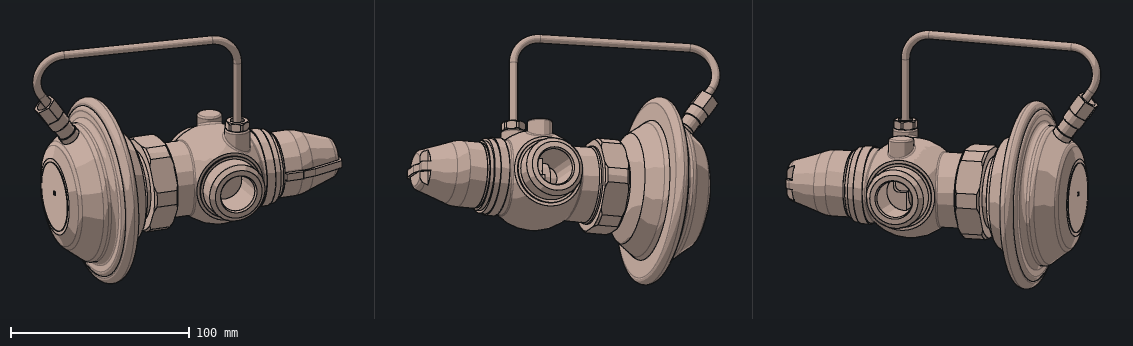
import cadquery as cq
import math


GLOBE_RADIUS = 28.1
GLOBE_HALF_WIDTH = 22.0
GLOBE_SIDE_RADIUS = 20.0
NECK_RADIUS = 21.2
NECK_FILLET = 1.2
COLLAR_RADIUS = 22.0
COLLAR_START = 22.6
COLLAR_END = 27.8
COLLAR_STEP_END = 31.2
CAP_BASE_RADIUS = 19.6
CAP_GROOVE_START = 33.4
CAP_GROOVE_RADIUS = 18.4
CAP_START = 34.7
CAP_RADIUS = 18.7
CAP_SHOULDER = 45.0
CAP_SHOULDER_MID = (18.3, 49.0)
CAP_CONE_START = (17.2, 52.2)
CAP_CONE_END = (11.8, 68.2)
CAP_EDGE_MID = (10.6, 70.3)
CAP_END_RADIUS = 9.2
CAP_END = 71.0

STRAP_WIDTH = 4.3
STRAP_BASE = 20.9
STRAP_NECK = 20.2
STRAP_CONE_FOOT = (19.2, 52.6)
STRAP_CONE_TOP = (12.7, 71.4)
STRAP_CREST_START = 8.8
STRAP_CREST_END = -1.1
STRAP_TOE = -6.6
STRAP_TOP = 72.5
LOOP_WIDTH = 5.2
LOOP_INNER_X = -7.2
LOOP_FLOOR = 66.3
LOOP_OPENING = 2.8

PORT_END = 35.1
PORT_RADIUS = 16.7
PORT_CHAMFER_LENGTH = 2.2
PORT_FACE_RADIUS = 14.1
PORT_SHOULDER_RADIUS = 18.2
PORT_SHOULDER_END = 23.1
PORT_MOUTH_RADIUS = 11.0
PORT_MOUTH_DEPTH = 1.5
PORT_BORE_RADIUS = 10.3
PORT_BORE_FLOOR = 14.0
SEAT_START = -1.0
SEAT_STEP = -5.8
SEAT_RADIUS = 10.0
SEAT_INNER_RADIUS = 8.0
INLET_POCKET_START = -1.9
INLET_POCKET_WIDTH = 8.3
INLET_POCKET_DEPTH = 4.0
INLET_POCKET_CORNER = 3.0

BOSS_TOP = 30.9
PLUG_RADIUS = 7.1
PLUG_X = -14.0
PLUG_Y = 2.0
TUBE_X = 13.8
TUBE_Y = 7.7
TUBE_BOSS_RADIUS = 7.2
BOSS_EDGE_FILLET = 1.0
BOSS_BASE_FILLET = 1.0
BOSS_ROOT_Z = 23.3
TUBE_NUT_FLATS = 12.6
TUBE_NUT_ROUND = 6.9
TUBE_NUT_HEIGHT = 5.0
TUBE_NUT_CHAMFER = 0.7
TUBE_NUT_SOCKET_RADIUS = 3.9

UNION_START = -32.8
UNION_END = -47.1
UNION_FLATS = 50.4
UNION_ROUND = 27.0
UNION_CHAMFER = 1.2
UNION_LIP_LENGTH = 1.8
UNION_LIP_RADIUS = 22.0

SPIGOT_RADIUS = 20.2
SPIGOT_END = -49.8
FRONT_DOME_MID = (27.0, -51.8)
FRONT_CONE_START = (31.2, -54.4)
FRONT_CONE_END = (37.7, -63.7)
FRONT_ROUND_MID = (38.7, -64.9)
SHELL_RADIUS = 39.4
LIP_STATION = -75.2
LIP_OUTER_RADIUS = 48.4
LIP_EDGE_MID = (47.5, -74.8)
LIP_FACE_RADIUS = 45.5
LIP_INNER_RADIUS = 42.0
LIP_ROUND_MID = (40.1, -76.2)
SHELL_START = -78.6
SHELL_END = -80.3
BACK_ROUND_MID = (39.1, -81.6)
BACK_CONE_START = (38.3, -82.8)
BACK_CONE_END = (30.8, -92.6)
BACK_DOME_MID = (29.9, -93.5)
BACK_DOME_START = (28.7, -94.2)
FLANGE_RADIUS = 53.0
FLANGE_CENTER = -70.0
FLANGE_ROUND = 3.7
HOUSING_END = -97.4
DISC_BASE = -97.0
END_FLAT_RADIUS = 21.7
DISC_RADIUS = 19.6
END_MARK_SIZE = 2.0
END_MARK_DEPTH = 0.5
END_MARK_Z = 2.1

FITTING_TILT = 36.0
FITTING_TIP_Y = -103.4
FITTING_TIP_Z = 56.4
FITTING_FLATS = 12.0
FITTING_HEX_LENGTH = 9.9
FITTING_SLEEVE_RADIUS = 6.0
FITTING_SLEEVE_LENGTH = 6.6
FITTING_STEM_RADIUS = 5.2
FITTING_STEM_LENGTH = 6.8
FITTING_FOOT_RADIUS = 5.7
FITTING_FOOT_LENGTH = 6.0
FITTING_SOCKET_RADIUS = 4.5
FITTING_SOCKET_DEPTH = 8.0

TUBE_RADIUS = 2.5
TUBE_BEND = 15.0
TUBE_TOP = 87.97
TUBE_REACH = -110.35

EDGE_SEARCH = 2.5


def revolve_about_y(profile):
    """Revolve a closed outline drawn as (radius, station) about the main axis."""
    return profile.close().revolve(360, (0, 0, 0), (0, 1, 0))


def cylinder_y(start, end, radius):
    """Cylinder on the main axis between two stations, with end below start."""
    return cq.Workplane("XZ", origin=(0, start, 0)).circle(radius).extrude(start - end)


def rounded_hex(plane, flats, round_radius, length, chamfer):
    """Hexagon bar whose corners are turned to a radius and whose ends are chamfered."""
    bar = cq.Workplane(plane).polygon(6, flats / math.cos(math.pi / 6)).extrude(length)
    turned = cq.Workplane(plane).circle(round_radius).extrude(length).edges().chamfer(chamfer)
    return bar.intersect(turned)


def fillet_near(body, center, radius):
    """Round the edges whose centres lie within a small box about a point."""
    low = tuple(value - EDGE_SEARCH for value in center)
    high = tuple(value + EDGE_SEARCH for value in center)
    return body.edges(cq.selectors.BoxSelector(low, high)).fillet(radius)


def globe():
    """Barrel bulging about the port axis."""
    profile = (
        cq.Workplane("XZ")
        .moveTo(-GLOBE_HALF_WIDTH, 0)
        .lineTo(-GLOBE_HALF_WIDTH, -GLOBE_SIDE_RADIUS)
        .threePointArc((0, -GLOBE_RADIUS), (GLOBE_HALF_WIDTH, -GLOBE_SIDE_RADIUS))
        .lineTo(GLOBE_HALF_WIDTH, 0)
    )
    return profile.close().revolve(360, (0, 0, 0), (1, 0, 0))


def stem_and_cap():
    """Neck, collar and setting cap turned on the main axis."""
    lip_start = UNION_START + UNION_LIP_LENGTH
    lip_cone = UNION_LIP_RADIUS - NECK_RADIUS
    return revolve_about_y(
        cq.Workplane("XY")
        .moveTo(0, UNION_START)
        .lineTo(UNION_LIP_RADIUS, UNION_START)
        .lineTo(UNION_LIP_RADIUS, lip_start - lip_cone)
        .lineTo(NECK_RADIUS, lip_start)
        .lineTo(NECK_RADIUS, COLLAR_START)
        .lineTo(COLLAR_RADIUS, COLLAR_START)
        .lineTo(COLLAR_RADIUS, COLLAR_END)
        .lineTo(NECK_RADIUS, COLLAR_END)
        .lineTo(NECK_RADIUS, COLLAR_STEP_END)
        .lineTo(CAP_BASE_RADIUS, COLLAR_STEP_END)
        .lineTo(CAP_BASE_RADIUS, CAP_GROOVE_START)
        .lineTo(CAP_GROOVE_RADIUS, CAP_GROOVE_START)
        .lineTo(CAP_GROOVE_RADIUS, CAP_START)
        .lineTo(CAP_RADIUS, CAP_START)
        .lineTo(CAP_RADIUS, CAP_SHOULDER)
        .threePointArc(CAP_SHOULDER_MID, CAP_CONE_START)
        .lineTo(*CAP_CONE_END)
        .threePointArc(CAP_EDGE_MID, (CAP_END_RADIUS, CAP_END))
        .lineTo(0, CAP_END)
    )


def cap_strap():
    """Flat strap that runs up the +X side of the cap and over its end."""
    return (
        cq.Workplane("XY")
        .moveTo(0, CAP_START)
        .lineTo(STRAP_BASE, CAP_START)
        .lineTo(STRAP_BASE, CAP_SHOULDER)
        .lineTo(STRAP_NECK, CAP_SHOULDER)
        .lineTo(*STRAP_CONE_FOOT)
        .lineTo(*STRAP_CONE_TOP)
        .lineTo(STRAP_CREST_START, STRAP_TOP)
        .lineTo(STRAP_CREST_END, STRAP_TOP)
        .lineTo(STRAP_TOE, CAP_END)
        .lineTo(0, CAP_END)
        .close()
        .extrude(STRAP_WIDTH / 2, both=True)
    )


def loop_notches():
    """Space cut from the -X edge of the cap end, leaving a sealing loop on the centre plane."""
    span = 2 * CAP_RADIUS
    notch = cq.Workplane("XY").box(span, span, span, centered=(False, False, True))
    notch = notch.translate((LOOP_INNER_X - span, LOOP_FLOOR, 0))
    loop = cq.Workplane("XY").box(2 * span, 4 * span, LOOP_WIDTH)
    eye = (
        cq.Workplane("XY")
        .moveTo(LOOP_INNER_X, LOOP_FLOOR)
        .lineTo(LOOP_INNER_X - LOOP_OPENING, LOOP_FLOOR)
        .radiusArc((LOOP_INNER_X, LOOP_FLOOR + LOOP_OPENING), LOOP_OPENING)
        .close()
        .extrude(LOOP_WIDTH, both=True)
    )
    return notch.cut(loop).union(eye)


def port(side):
    """Outer turning of one port; side is -1 or +1 along X."""
    return (
        cq.Workplane("XY")
        .lineTo(0, PORT_SHOULDER_RADIUS)
        .lineTo(side * PORT_SHOULDER_END, PORT_SHOULDER_RADIUS)
        .lineTo(side * PORT_SHOULDER_END, PORT_RADIUS)
        .lineTo(side * (PORT_END - PORT_CHAMFER_LENGTH), PORT_RADIUS)
        .lineTo(side * PORT_END, PORT_FACE_RADIUS)
        .lineTo(side * PORT_END, 0)
        .close()
        .revolve(360, (0, 0, 0), (1, 0, 0))
    )


def port_bore(side, floor):
    """Blind bore of one port with a tapered mouth, down to a floor at a distance from the main axis."""
    return (
        cq.Workplane("XY")
        .moveTo(side * floor, 0)
        .lineTo(side * floor, PORT_BORE_RADIUS)
        .lineTo(side * (PORT_END - PORT_MOUTH_DEPTH), PORT_BORE_RADIUS)
        .lineTo(side * PORT_END, PORT_MOUTH_RADIUS)
        .lineTo(side * PORT_END, 0)
        .close()
        .revolve(360, (0, 0, 0), (1, 0, 0))
    )


def inlet_passage():
    """Space around the round valve seat and the pocket beside it, both reached from the -X port."""
    span = 2 * PORT_END
    seat_side = cq.Workplane("XY").box(span, span, span).translate((0, SEAT_START - span / 2, 0))
    around_seat = port_bore(-1, 0).intersect(seat_side)
    around_seat = around_seat.cut(cylinder_y(SEAT_START, SEAT_STEP, SEAT_RADIUS))
    around_seat = around_seat.cut(cylinder_y(SEAT_STEP, -span, SEAT_INNER_RADIUS))
    pocket = (
        cq.Workplane("XY")
        .box(INLET_POCKET_DEPTH, INLET_POCKET_WIDTH, PORT_BORE_RADIUS, centered=False)
        .edges("|X and >Y")
        .fillet(INLET_POCKET_CORNER)
        .translate((-PORT_BORE_FLOOR, INLET_POCKET_START, 0))
        .intersect(port_bore(-1, 0))
    )
    return around_seat.union(pocket)


def boss(x, y, radius):
    """Round upright boss with a rounded top edge."""
    post = cq.Workplane("XY", origin=(x, y, 0)).circle(radius).extrude(BOSS_TOP)
    return post.faces(">Z").edges().fillet(BOSS_EDGE_FILLET)


def make_valve():
    body = globe().union(stem_and_cap())
    meeting = math.sqrt(GLOBE_RADIUS**2 - NECK_RADIUS**2)
    body = fillet_near(body, (0, meeting, 0), NECK_FILLET)
    body = fillet_near(body, (0, -meeting, 0), NECK_FILLET)
    for side in (-1, 1):
        body = body.union(port(side))
    for x, y, radius in ((PLUG_X, PLUG_Y, PLUG_RADIUS), (TUBE_X, TUBE_Y, TUBE_BOSS_RADIUS)):
        body = body.union(boss(x, y, radius))
        body = fillet_near(body, (x, y, BOSS_ROOT_Z), BOSS_BASE_FILLET)
    nut_plane = cq.Plane((TUBE_X, TUBE_Y, BOSS_TOP), (1, 0, 0), (0, 0, 1))
    nut = rounded_hex(nut_plane, TUBE_NUT_FLATS, TUBE_NUT_ROUND, TUBE_NUT_HEIGHT, TUBE_NUT_CHAMFER)
    socket = cq.Workplane(nut_plane).circle(TUBE_NUT_SOCKET_RADIUS).extrude(TUBE_NUT_HEIGHT)
    body = body.union(nut.cut(socket))
    for side in (-1, 1):
        body = body.cut(port_bore(side, PORT_BORE_FLOOR))
    return body.cut(inlet_passage()).cut(loop_notches()).union(cap_strap())


def housing():
    """Two pressed shells joined by a rolled rim."""
    rim_edge = FLANGE_RADIUS - FLANGE_ROUND
    diagonal = FLANGE_ROUND * math.sqrt(0.5)
    rim_front = FLANGE_CENTER + FLANGE_ROUND
    rim_back = FLANGE_CENTER - FLANGE_ROUND
    return revolve_about_y(
        cq.Workplane("XY")
        .moveTo(0, UNION_END)
        .lineTo(SPIGOT_RADIUS, UNION_END)
        .lineTo(SPIGOT_RADIUS, SPIGOT_END)
        .threePointArc(FRONT_DOME_MID, FRONT_CONE_START)
        .lineTo(*FRONT_CONE_END)
        .threePointArc(FRONT_ROUND_MID, (SHELL_RADIUS, rim_front))
        .lineTo(rim_edge, rim_front)
        .threePointArc((rim_edge + diagonal, FLANGE_CENTER + diagonal), (FLANGE_RADIUS, FLANGE_CENTER))
        .threePointArc((rim_edge + diagonal, FLANGE_CENTER - diagonal), (rim_edge, rim_back))
        .lineTo(LIP_OUTER_RADIUS, rim_back)
        .threePointArc(LIP_EDGE_MID, (LIP_FACE_RADIUS, LIP_STATION))
        .lineTo(LIP_INNER_RADIUS, LIP_STATION)
        .threePointArc(LIP_ROUND_MID, (SHELL_RADIUS, SHELL_START))
        .lineTo(SHELL_RADIUS, SHELL_END)
        .threePointArc(BACK_ROUND_MID, BACK_CONE_START)
        .lineTo(*BACK_CONE_END)
        .threePointArc(BACK_DOME_MID, BACK_DOME_START)
        .lineTo(END_FLAT_RADIUS, DISC_BASE)
        .lineTo(DISC_RADIUS, DISC_BASE)
        .lineTo(DISC_RADIUS, HOUSING_END)
        .lineTo(0, HOUSING_END)
    )


def fitting_plane(depth):
    """Plane across the slanted fitting at a depth below its tip, facing out along its axis."""
    tilt = math.radians(FITTING_TILT)
    origin = (0, FITTING_TIP_Y + depth * math.sin(tilt), FITTING_TIP_Z - depth * math.cos(tilt))
    return cq.Plane(origin, (1, 0, 0), (0, -math.sin(tilt), math.cos(tilt)))


def fitting():
    """Slanted compression fitting: hexagon, sleeve, stem and foot."""
    hexagon = (
        cq.Workplane(fitting_plane(0))
        .polygon(6, FITTING_FLATS / math.cos(math.pi / 6))
        .extrude(-FITTING_HEX_LENGTH)
    )
    stem_start = FITTING_HEX_LENGTH + FITTING_SLEEVE_LENGTH
    foot_start = stem_start + FITTING_STEM_LENGTH
    sleeve = cq.Workplane(fitting_plane(FITTING_HEX_LENGTH)).circle(FITTING_SLEEVE_RADIUS)
    stem = cq.Workplane(fitting_plane(stem_start)).circle(FITTING_STEM_RADIUS)
    foot = (
        cq.Workplane(fitting_plane(foot_start))
        .circle(FITTING_FOOT_RADIUS)
        .extrude(-FITTING_FOOT_LENGTH)
        .edges(">Z")
        .chamfer((FITTING_FOOT_RADIUS - FITTING_STEM_RADIUS) / 2)
    )
    return (
        hexagon.union(sleeve.extrude(-FITTING_SLEEVE_LENGTH))
        .union(stem.extrude(-FITTING_STEM_LENGTH))
        .union(foot)
    )


def make_actuator():
    nut_plane = cq.Plane((0, UNION_START, 0), (1, 0, 0), (0, -1, 0))
    nut = rounded_hex(nut_plane, UNION_FLATS, UNION_ROUND, UNION_START - UNION_END, UNION_CHAMFER)
    body = nut.union(housing()).union(fitting())
    socket = cq.Workplane(fitting_plane(0)).circle(FITTING_SOCKET_RADIUS).extrude(-FITTING_SOCKET_DEPTH)
    mark = cq.Workplane("XY").box(END_MARK_SIZE, 2 * END_MARK_DEPTH, END_MARK_SIZE)
    return body.cut(socket).cut(mark.translate((0, HOUSING_END, END_MARK_Z)))


def make_tube():
    """Tube that rises from the valve, runs level to the actuator and turns down into its fitting."""
    level = TUBE_TOP - TUBE_RADIUS
    tilt = math.radians(FITTING_TILT)
    down = cq.Vector(0, math.sin(tilt), -math.cos(tilt))
    bend_y = TUBE_REACH + TUBE_RADIUS + TUBE_BEND
    corner_y = bend_y - TUBE_BEND * math.tan(math.pi / 4 + tilt / 2)

    first = cq.Vector(TUBE_X, TUBE_Y, level)
    second = cq.Vector(0, corner_y, level)
    along = (second - first).normalized()
    floor = fitting_plane(FITTING_SOCKET_DEPTH)
    end = second + down * (floor.origin - second).dot(down)

    def bend(corner, arriving, leaving):
        turn = arriving.getAngle(leaving)
        reach = TUBE_BEND * math.tan(turn / 2)
        inward = (leaving - arriving).normalized()
        middle = corner + inward * (TUBE_BEND / math.cos(turn / 2) - TUBE_BEND)
        return corner - arriving * reach, middle, corner + leaving * reach

    start = cq.Vector(TUBE_X, TUBE_Y, BOSS_TOP)
    in_1, mid_1, out_1 = bend(first, cq.Vector(0, 0, 1), along)
    in_2, mid_2, out_2 = bend(second, along, down)
    path = cq.Wire.assembleEdges([
        cq.Edge.makeLine(start, in_1),
        cq.Edge.makeThreePointArc(in_1, mid_1, out_1),
        cq.Edge.makeLine(out_1, in_2),
        cq.Edge.makeThreePointArc(in_2, mid_2, out_2),
        cq.Edge.makeLine(out_2, end),
    ])
    section = cq.Workplane("XY", origin=start.toTuple()).circle(TUBE_RADIUS)
    return section.sweep(cq.Workplane("XY").add(path))


valve = make_valve()
actuator = make_actuator()
tube = make_tube()
result = cq.Compound.makeCompound([body.solids().val() for body in (valve, actuator, tube)])